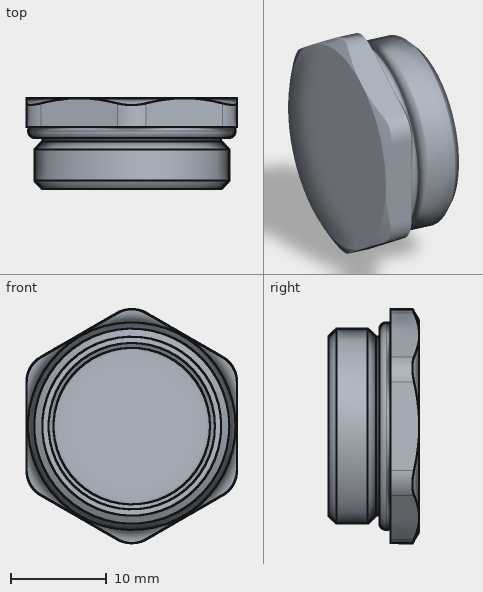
import cadquery as cq
import math

across_flats = 22.0
corner_radius = 3.0
head_thickness = 3.0
chamfer_angle = 30
head_face_diameter = 22.0

total_length = 9.5
shank_length = total_length - head_thickness
ring_centre_depth = 0.4
neck_length = 1.5
body_chamfer_length = 0.88

ring_diameter = 21.7
ring_section_diameter = 1.52
ring_centre_radius = (ring_diameter - ring_section_diameter) / 2
neck_diameter = 18.7
body_diameter = 20.4
end_diameter = 18.7

recess_rim_diameter = 17.38
recess_floor_diameter = 16.35
recess_depth = 0.51


def make_head():
    """Hexagon with rounded corners and a conical chamfer on its outer face."""
    corner_diameter = across_flats / math.cos(math.radians(30))
    hexagon = (
        cq.Workplane("XY")
        .polygon(6, corner_diameter)
        .extrude(head_thickness)
        .edges("|Z")
        .fillet(corner_radius)
        .rotate((0, 0, 0), (0, 0, 1), 30)
    )
    face_radius = head_face_diameter / 2
    cone_radius = corner_diameter / 2
    cone_height = (cone_radius - face_radius) * math.tan(math.radians(chamfer_angle))
    envelope = (
        cq.Workplane("XZ")
        .moveTo(0, 0)
        .lineTo(cone_radius, 0)
        .lineTo(cone_radius, head_thickness - cone_height)
        .lineTo(face_radius, head_thickness)
        .lineTo(0, head_thickness)
        .close()
        .revolve(360, (0, 0, 0), (0, 1, 0))
    )
    return hexagon.intersect(envelope)


def make_shank():
    """Neck and chamfered body, with the recess in the end."""
    profile = [
        (0, 0),
        (ring_centre_radius, 0),
        (ring_centre_radius, -ring_centre_depth),
        (neck_diameter / 2, -ring_centre_depth),
        (neck_diameter / 2, -neck_length),
        (body_diameter / 2, -neck_length - body_chamfer_length),
        (body_diameter / 2, -shank_length + body_chamfer_length),
        (end_diameter / 2, -shank_length),
        (recess_rim_diameter / 2, -shank_length),
        (recess_floor_diameter / 2, -shank_length + recess_depth),
        (0, -shank_length + recess_depth),
    ]
    return cq.Workplane("XZ").polyline(profile).close().revolve(360, (0, 0, 0), (0, 1, 0))


def make_sealing_ring():
    """Round-section ring, partly sunk into the underside of the head."""
    return (
        cq.Workplane("XZ")
        .center(ring_centre_radius, -ring_centre_depth)
        .circle(ring_section_diameter / 2)
        .revolve(360, (-ring_centre_radius, 0, 0), (-ring_centre_radius, 1, 0))
    )


plug = make_head().union(make_shank()).union(make_sealing_ring())
result = plug.rotate((0, 0, 0), (1, 0, 0), -90).translate((0, total_length / 2 - head_thickness, 0))